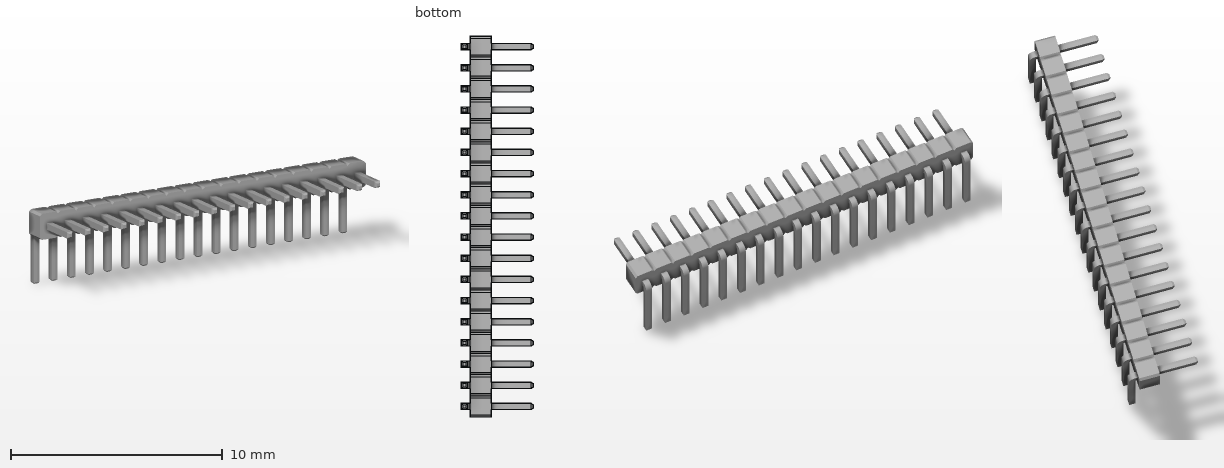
import cadquery as cq


row_length = 18.0
pin_count = 18
housing_height = 1.28
housing_chamfer = 0.1
pin_width = 0.3
pin_reach_front = 1.98
overall_x = 3.4
overall_z = 3.76
front_tip_length = 0.1
down_tip_length = 0.07
tip_inset = 0.07

pitch = row_length / pin_count
housing_depth = pitch
pin_half = pin_width / 2
front_x = housing_depth / 2 + pin_reach_front
back_x = front_x - overall_x
bottom_z = housing_height / 2 - overall_z
bend_x = back_x + pin_width


def housing_cell():
    """One pitch of the housing, with its four long X edges chamfered."""
    cell = cq.Workplane("XY").box(housing_depth, pitch, housing_height)
    return cell.edges("|X").chamfer(housing_chamfer)


def tapered_tip(plane, length):
    """A square frustum growing from the given plane along its normal."""
    end_width = pin_width - 2 * tip_inset
    return (
        cq.Workplane(plane)
        .rect(pin_width, pin_width)
        .workplane(offset=length)
        .rect(end_width, end_width)
        .loft(combine=True)
    )


def bent_pin():
    """An L-shaped square pin with a rounded outer corner and tapered tips."""
    straight_end_x = front_x - front_tip_length
    down_end_z = bottom_z + down_tip_length
    legs = (
        cq.Workplane("XZ")
        .moveTo(straight_end_x, pin_half)
        .lineTo(bend_x, pin_half)
        .radiusArc((back_x, -pin_half), -pin_width)
        .lineTo(back_x, down_end_z)
        .lineTo(bend_x, down_end_z)
        .lineTo(bend_x, -pin_half)
        .lineTo(straight_end_x, -pin_half)
        .close()
        .extrude(pin_half, both=True)
    )
    front_plane = cq.Plane(origin=(straight_end_x, 0, 0), xDir=(0, 1, 0), normal=(1, 0, 0))
    down_plane = cq.Plane(origin=(back_x + pin_half, 0, down_end_z), xDir=(1, 0, 0), normal=(0, 0, -1))
    front_tip = tapered_tip(front_plane, front_tip_length)
    down_tip = tapered_tip(down_plane, down_tip_length)
    return legs.union(front_tip).union(down_tip)


pin_cell = housing_cell().union(bent_pin())
result = cq.Workplane("XY")
for index in range(pin_count):
    offset_y = (index - (pin_count - 1) / 2) * pitch
    result = result.union(pin_cell.translate((0, offset_y, 0)))